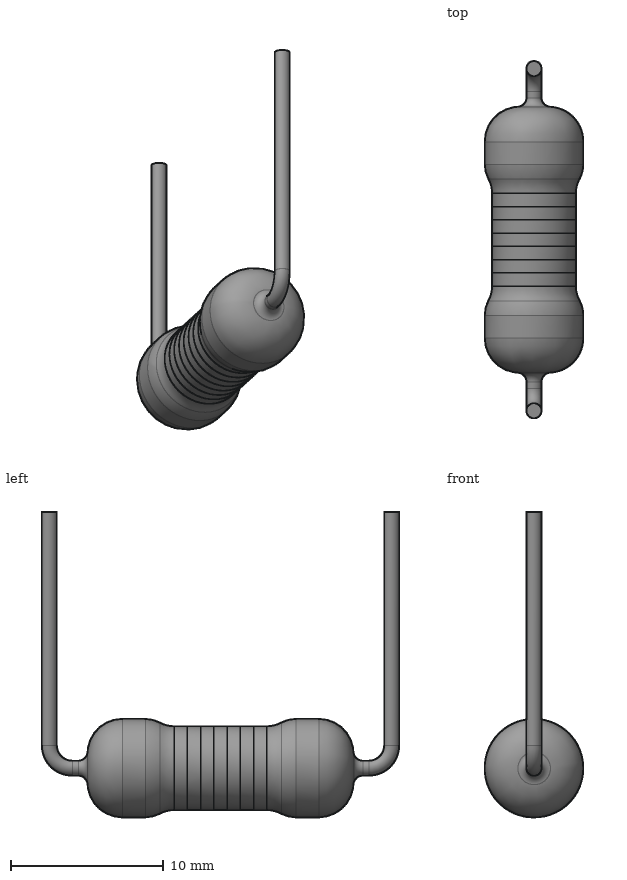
import cadquery as cq
import math

cap_radius = 6.5 / 2
body_half_length = 17.5 / 2
dome_radius = 2.3
shoulder_radius = 2.0

band_radius = 5.54 / 2
waist_radius = 5.53 / 2
band_count = 7
waist_length = 6.1

lead_radius = 1.0 / 2
lead_span = 22.5
lead_bend_radius = 1.5
lead_top = 16.85
lead_flare_radius = 0.6
lead_embed = 1.0


def make_end_cap():
    """End cap on the +Y side: curved shoulder, cylinder, dome and flare onto the lead."""
    waist_end = waist_length / 2
    half_step = (cap_radius - waist_radius) / 2
    half_run = math.sqrt(shoulder_radius**2 - (shoulder_radius - half_step) ** 2)
    shoulder_mid = (waist_radius + half_step, waist_end + half_run)
    shoulder_end = (cap_radius, waist_end + 2 * half_run)

    dome_center_r = cap_radius - dome_radius
    dome_center_y = body_half_length - dome_radius

    flare_center_r = lead_radius + lead_flare_radius
    center_distance = dome_radius + lead_flare_radius
    tangent_angle = math.acos((flare_center_r - dome_center_r) / center_distance)
    flare_end_y = dome_center_y + center_distance * math.sin(tangent_angle)
    dome_end = (
        dome_center_r + dome_radius * math.cos(tangent_angle),
        dome_center_y + dome_radius * math.sin(tangent_angle),
    )

    profile = (
        cq.Workplane("XY")
        .moveTo(0, waist_end)
        .lineTo(waist_radius, waist_end)
        .radiusArc(shoulder_mid, shoulder_radius)
        .radiusArc(shoulder_end, -shoulder_radius)
        .lineTo(cap_radius, dome_center_y)
        .radiusArc(dome_end, -dome_radius)
        .radiusArc((lead_radius, flare_end_y), lead_flare_radius)
        .lineTo(0, flare_end_y)
        .close()
    )
    return profile.revolve(360, (0, 0, 0), (0, 1, 0))


def make_waist():
    """Row of equal bands whose diameters alternate along the Y axis."""
    band_width = waist_length / band_count
    waist = cq.Workplane("XZ")
    for index in range(band_count):
        radius = band_radius if index % 2 == 0 else waist_radius
        start_y = -waist_length / 2 + index * band_width
        band = cq.Workplane("XZ", origin=(0, start_y, 0)).circle(radius).extrude(-band_width)
        waist = waist.union(band)
    return waist


def make_lead():
    """Bent wire on the +Y side, starting inside the end cap."""
    lead_y = lead_span / 2
    start_y = body_half_length - lead_embed
    path = (
        cq.Workplane("YZ")
        .moveTo(start_y, 0)
        .lineTo(lead_y - lead_bend_radius, 0)
        .radiusArc((lead_y, lead_bend_radius), -lead_bend_radius)
        .lineTo(lead_y, lead_top)
    )
    return cq.Workplane("XZ", origin=(0, start_y, 0)).circle(lead_radius).sweep(path)


end = make_end_cap().union(make_lead())
result = make_waist().union(end).union(end.mirror("XZ"))